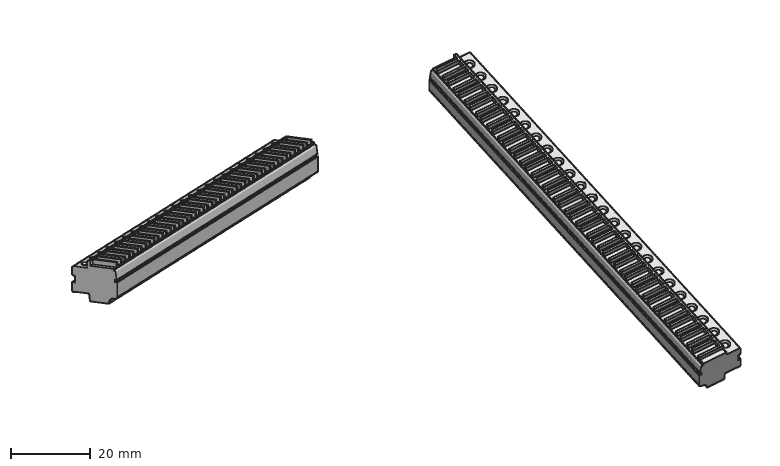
import cadquery as cq

LENGTH = 121.5
WIDTH = 12.5
HEIGHT = 10.6

LEFT = -WIDTH / 2
RIGHT = WIDTH / 2
TOP = HEIGHT / 2
BOTTOM = -HEIGHT / 2

DECK_Z = 3.4
UPPER_LIP_FILLET = 0.6
UPPER_LIP_BOTTOM_Z = 1.2
SLOT_ROOF_Z = 0.7
SLOT_FLOOR_Z = -0.9
SLOT_DEPTH = 0.9
UNDERSIDE_Z = -3.3
LOWER_LIP_BOTTOM_Z = -3.4
LOWER_LIP_THICKNESS = 1.1
LOWER_LIP_FILLET = 0.6

FOOT_LEFT_TOP = -1.5
FOOT_LEFT_BOTTOM = -1.3
FOOT_RIGHT = 3.9
FOOT_LEFT_FILLET = 0.4
FOOT_RIGHT_FILLET = 1.6
FOOT_CHAMFER = 0.2
HEEL_CHAMFER = 0.4

FLOOR_Z = 4.0
FLOOR_RIGHT = 5.2
SHOULDER_Z = 3.6
SHOULDER_FILLET = 0.6
FLANK_BOTTOM_X = 6.1
GROOVE_X = 5.6
GROOVE_TOP_Z = 1.2
LEDGE_Z = 0.6

WALL_LEFT = -2.1
WALL_RIGHT = -1.2
WALL_CHAMFER = 0.2
RIB_THICKNESS = 0.69
RIB_SPACING = 2.8

TONGUE_Z = 4.3
TONGUE_RIGHT = 5.0

POSITIONS = 24
END_TO_POSITION = 3.3
PITCH = (LENGTH - 2 * END_TO_POSITION) / (POSITIONS - 1)
RECESS_X = -3.6
RECESS_OFFSET_Y = 0.09
RECESS_DIAMETER = 2.7
RECESS_FLOOR_DIAMETER = 1.7
RECESS_DEPTH = 0.5

FIRST_POSITION_Y = LENGTH / 2 - END_TO_POSITION
WALL_END_Y = FIRST_POSITION_Y + RIB_SPACING / 2 + RIB_THICKNESS / 2


def extrude_along_y(outline, start, end):
    """Solid with an XZ outline, running from y = start to y = end."""
    return outline.extrude(end - start).translate((0, end, 0))


def body():
    """Full-length section; the floor on the right is raised above the deck."""
    outline = (
        cq.Workplane("XZ")
        .moveTo(LEFT + UPPER_LIP_FILLET, DECK_Z)
        .lineTo(WALL_LEFT, DECK_Z)
        .lineTo(WALL_LEFT, FLOOR_Z)
        .lineTo(FLOOR_RIGHT, FLOOR_Z)
        .lineTo(FLOOR_RIGHT, SHOULDER_Z)
        .radiusArc((FLOOR_RIGHT + SHOULDER_FILLET, SHOULDER_Z - SHOULDER_FILLET), SHOULDER_FILLET)
        .lineTo(FLANK_BOTTOM_X, GROOVE_TOP_Z)
        .lineTo(GROOVE_X, GROOVE_TOP_Z)
        .lineTo(GROOVE_X, LEDGE_Z)
        .lineTo(RIGHT, LEDGE_Z)
        .lineTo(RIGHT, UNDERSIDE_Z)
        .lineTo(RIGHT - HEEL_CHAMFER, UNDERSIDE_Z - HEEL_CHAMFER)
        .lineTo(FOOT_RIGHT + FOOT_RIGHT_FILLET, BOTTOM + FOOT_RIGHT_FILLET)
        .radiusArc((FOOT_RIGHT, BOTTOM), -FOOT_RIGHT_FILLET)
        .lineTo(FOOT_LEFT_BOTTOM + FOOT_CHAMFER, BOTTOM)
        .lineTo(FOOT_LEFT_BOTTOM, BOTTOM + FOOT_CHAMFER)
        .lineTo(FOOT_LEFT_TOP, UNDERSIDE_Z - FOOT_LEFT_FILLET)
        .radiusArc((FOOT_LEFT_TOP - FOOT_LEFT_FILLET, UNDERSIDE_Z), -FOOT_LEFT_FILLET)
        .lineTo(LEFT + LOWER_LIP_THICKNESS, UNDERSIDE_Z)
        .lineTo(LEFT + LOWER_LIP_THICKNESS, LOWER_LIP_BOTTOM_Z)
        .lineTo(LEFT + LOWER_LIP_FILLET, LOWER_LIP_BOTTOM_Z)
        .radiusArc((LEFT, LOWER_LIP_BOTTOM_Z + LOWER_LIP_FILLET), LOWER_LIP_FILLET)
        .lineTo(LEFT, SLOT_FLOOR_Z)
        .lineTo(LEFT + SLOT_DEPTH, SLOT_FLOOR_Z)
        .lineTo(LEFT + SLOT_DEPTH, SLOT_ROOF_Z)
        .lineTo(LEFT, UPPER_LIP_BOTTOM_Z)
        .lineTo(LEFT, DECK_Z - UPPER_LIP_FILLET)
        .radiusArc((LEFT + UPPER_LIP_FILLET, DECK_Z), UPPER_LIP_FILLET)
        .close()
    )
    return extrude_along_y(outline, -LENGTH / 2, LENGTH / 2)


def chamfered_ridge(right, top, start, end):
    """Ridge on the deck from the wall's left face to x = right, chamfered along its left edge."""
    outline = (
        cq.Workplane("XZ")
        .moveTo(WALL_LEFT, DECK_Z)
        .lineTo(WALL_LEFT, top - WALL_CHAMFER)
        .lineTo(WALL_LEFT + WALL_CHAMFER, top)
        .lineTo(right, top)
        .lineTo(right, DECK_Z)
        .close()
    )
    return extrude_along_y(outline, start, end)


def rib(y):
    """Cross rib centred at y, standing on the floor between the wall and the floor's right edge."""
    return cq.Workplane("XY").box(
        FLOOR_RIGHT - WALL_RIGHT, RIB_THICKNESS, TOP - FLOOR_Z, centered=(False, True, False)
    ).translate((WALL_RIGHT, y, FLOOR_Z))


def screw_recess(y):
    return (
        cq.Workplane("XY", origin=(RECESS_X, y, DECK_Z))
        .circle(RECESS_DIAMETER / 2)
        .workplane(offset=-RECESS_DEPTH)
        .circle(RECESS_FLOOR_DIAMETER / 2)
        .loft(ruled=True)
    )


wall = chamfered_ridge(WALL_RIGHT, TOP, -LENGTH / 2, WALL_END_Y)
tongue = chamfered_ridge(TONGUE_RIGHT, TONGUE_Z, WALL_END_Y, LENGTH / 2)

result = body().union(wall).union(tongue)
for index in range(POSITIONS):
    position_y = FIRST_POSITION_Y - index * PITCH
    result = result.union(rib(position_y + RIB_SPACING / 2))
    result = result.union(rib(position_y - RIB_SPACING / 2))
    result = result.cut(screw_recess(position_y + RECESS_OFFSET_Y))